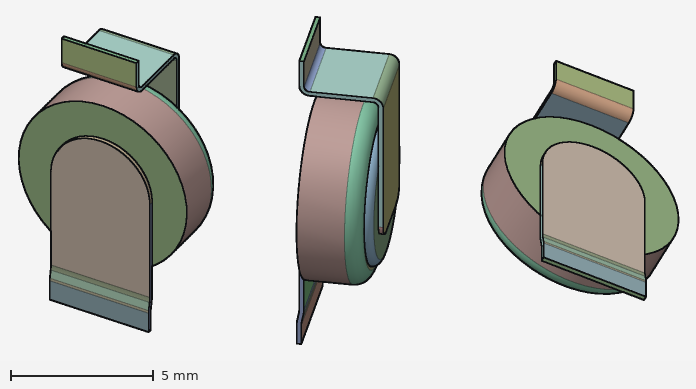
import cadquery as cq
import math

cell_radius = 3.4
can_depth = 2.28
can_edge_radius = 0.58
cap_radius = 2.7
cap_height = 0.28
cell_depth = can_depth + cap_height

sheet = 0.17
foot_front_y = -0.26
foot_back_y = foot_front_y + sheet

front_width = 4.0
front_bottom_z = -5.4
jog_top_z = -3.97
jog_angle = math.radians(11)
upper_jog_radius = 1.06
lower_jog_radius = 0.53

rear_width = 3.03
rear_top_z = front_bottom_z + 11.3
rear_bottom_z = -1.08
shelf_top_z = 4.68
rear_inner_bend = 0.2
rear_outer_bend = rear_inner_bend + sheet
rear_corner_radius = 0.51


def arc_point(center, radius, angle):
    """Point on an arc in YZ, with the angle measured from +Y towards +Z."""
    return (center[0] + radius * math.cos(angle), center[1] + radius * math.sin(angle))


def extrude_across(outline, width):
    """Extrude a closed YZ outline symmetrically about X = 0."""
    return outline.extrude(width / 2, both=True)


def make_cell():
    """Revolve the half profile of the can and its stepped cap about the Y axis."""
    can_round_center = (can_depth - can_edge_radius, cell_radius - can_edge_radius)
    cap_flat_radius = cap_radius - cap_height
    return (
        cq.Workplane("YZ")
        .lineTo(0, cell_radius)
        .lineTo(can_round_center[0], cell_radius)
        .threePointArc(
            arc_point(can_round_center, can_edge_radius, math.pi / 4),
            (can_depth, can_round_center[1]),
        )
        .lineTo(can_depth, cap_radius)
        .threePointArc(
            arc_point((can_depth, cap_flat_radius), cap_height, math.pi / 4),
            (cell_depth, cap_flat_radius),
        )
        .lineTo(cell_depth, 0)
        .close()
        .revolve(360, (0, 0), (1, 0))
    )


def make_front_contact():
    upper_center = (-sheet - upper_jog_radius, jog_top_z)
    lower_center_y = foot_front_y + lower_jog_radius
    radius_sum = upper_jog_radius + lower_jog_radius
    center_gap_y = lower_center_y - upper_center[0]
    slope_length = (radius_sum * math.cos(jog_angle) - center_gap_y) / math.sin(jog_angle)
    center_drop = radius_sum * math.sin(jog_angle) + slope_length * math.cos(jog_angle)
    lower_center = (lower_center_y, jog_top_z - center_drop)

    def upper_point(radius, turn):
        return arc_point(upper_center, radius, -turn)

    def lower_point(radius, turn):
        return arc_point(lower_center, radius, math.pi - turn)

    upper_back_radius = upper_jog_radius + sheet
    lower_back_radius = lower_jog_radius - sheet
    half_turn = jog_angle / 2
    outline = (
        cq.Workplane("YZ")
        .moveTo(-sheet, 0)
        .lineTo(*upper_point(upper_jog_radius, 0))
        .threePointArc(upper_point(upper_jog_radius, half_turn), upper_point(upper_jog_radius, jog_angle))
        .lineTo(*lower_point(lower_jog_radius, jog_angle))
        .threePointArc(lower_point(lower_jog_radius, half_turn), lower_point(lower_jog_radius, 0))
        .lineTo(foot_front_y, front_bottom_z)
        .lineTo(foot_back_y, front_bottom_z)
        .lineTo(*lower_point(lower_back_radius, 0))
        .threePointArc(lower_point(lower_back_radius, half_turn), lower_point(lower_back_radius, jog_angle))
        .lineTo(*upper_point(upper_back_radius, jog_angle))
        .threePointArc(upper_point(upper_back_radius, half_turn), upper_point(upper_back_radius, 0))
        .lineTo(0, 0)
        .close()
    )
    strip = extrude_across(outline, front_width)
    rounded_end = cq.Workplane("XZ").circle(front_width / 2).extrude(sheet)
    return strip.union(rounded_end)


def make_rear_contact():
    rear_back_y = cell_depth + sheet
    shelf_bottom_z = shelf_top_z - sheet
    outline = (
        cq.Workplane("YZ")
        .moveTo(cell_depth, rear_bottom_z)
        .lineTo(cell_depth, shelf_bottom_z)
        .lineTo(foot_front_y, shelf_bottom_z)
        .lineTo(foot_front_y, rear_top_z)
        .lineTo(foot_back_y, rear_top_z)
        .lineTo(foot_back_y, shelf_top_z)
        .lineTo(rear_back_y, shelf_top_z)
        .lineTo(rear_back_y, rear_bottom_z)
        .close()
    )
    strip = extrude_across(outline, rear_width)

    def bend(body, corner_y, corner_z, radius):
        corner = cq.selectors.NearestToPointSelector((0, corner_y, corner_z))
        return body.edges("|X").edges(corner).fillet(radius)

    strip = bend(strip, cell_depth, shelf_bottom_z, rear_inner_bend)
    strip = bend(strip, rear_back_y, shelf_top_z, rear_outer_bend)
    strip = bend(strip, foot_back_y, shelf_top_z, rear_inner_bend)
    strip = bend(strip, foot_front_y, shelf_bottom_z, rear_outer_bend)
    return strip.edges("|Y and <Z").fillet(rear_corner_radius)


cell = make_cell()
front_contact = make_front_contact()
rear_contact = make_rear_contact()

result = cq.Compound.makeCompound([cell.val(), front_contact.val(), rear_contact.val()])